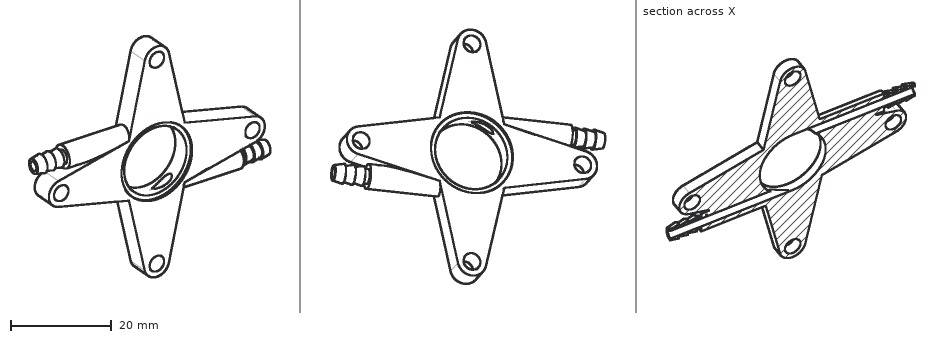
import cadquery as cq
import math

thickness = 5.0
tip_center = 23.0
tip_radius = 2.995
arm_hole_radius = 1.75
notch = 6.7

bore_radius = 7.5
seat_radius = 8.5
seat_depth = 0.5

tube_radius = thickness / 2
passage_radius = 1.0
tube_offset = bore_radius - passage_radius
connector_end = 28.0
barb_count = 3
barb_length = 2.0
neck_length = 1.0
neck_radius = 1.5
barb_root_radius = 1.55
barb_crest_radius = 2.0
barbs_start = connector_end - barb_count * barb_length
tube_end = barbs_start - neck_length


def make_arm():
    """One arm toward +Y, from the centre to its round tip, with tangent sides."""
    run = tip_center - notch
    tangent_angle = math.atan2(notch, -run) - math.acos(tip_radius / math.hypot(run, notch))
    tangent_y = tip_center + tip_radius * math.cos(tangent_angle)
    tangent_z = tip_radius * math.sin(tangent_angle)
    return (
        cq.Workplane("YZ", origin=(-thickness / 2, 0, 0))
        .moveTo(0, 0)
        .lineTo(notch, notch)
        .lineTo(tangent_y, tangent_z)
        .threePointArc((tip_center + tip_radius, 0), (tangent_y, -tangent_z))
        .lineTo(notch, -notch)
        .close()
        .extrude(thickness)
    )


def make_connector():
    """Solid tube and barbed hose end, revolved about a line parallel to Y."""
    outline = (
        cq.Workplane("XY")
        .lineTo(tube_radius, 0)
        .lineTo(tube_radius, tube_end)
        .lineTo(neck_radius, tube_end)
        .lineTo(neck_radius, barbs_start)
    )
    for index in range(barb_count):
        crest_y = barbs_start + index * barb_length
        outline = outline.lineTo(barb_crest_radius, crest_y)
        outline = outline.lineTo(barb_root_radius, crest_y + barb_length)
    connector = outline.lineTo(0, connector_end).close().revolve(360, (0, 0, 0), (0, 1, 0))
    return connector.translate((0, 0, -tube_offset))


def make_passage():
    """Cutter for the fluid passage, from the bore tangent point to the hose end."""
    return (
        cq.Workplane("XZ", origin=(0, 0, -tube_offset))
        .circle(passage_radius)
        .extrude(-connector_end)
    )


def turn_about_x(shape, angle):
    return shape.rotate((0, 0, 0), (1, 0, 0), angle)


def cylinder_along_x(radius, length):
    """Cylinder rising from the -X face of the plate."""
    return cq.Workplane("YZ", origin=(-thickness / 2, 0, 0)).circle(radius).extrude(length)


arm = make_arm()
body = arm
for quarter in (90, 180, 270):
    body = body.union(turn_about_x(arm, quarter))
for half_turn in (0, 180):
    body = body.union(turn_about_x(make_connector(), half_turn))

body = body.cut(cylinder_along_x(bore_radius, thickness))
seat = cylinder_along_x(seat_radius, seat_depth)
body = body.cut(seat)
body = body.cut(seat.mirror("YZ"))
for half_turn in (0, 180):
    body = body.cut(turn_about_x(make_passage(), half_turn))

arm_hole = cylinder_along_x(arm_hole_radius, thickness).translate((0, tip_center, 0))
for quarter in (0, 90, 180, 270):
    body = body.cut(turn_about_x(arm_hole, quarter))

result = body